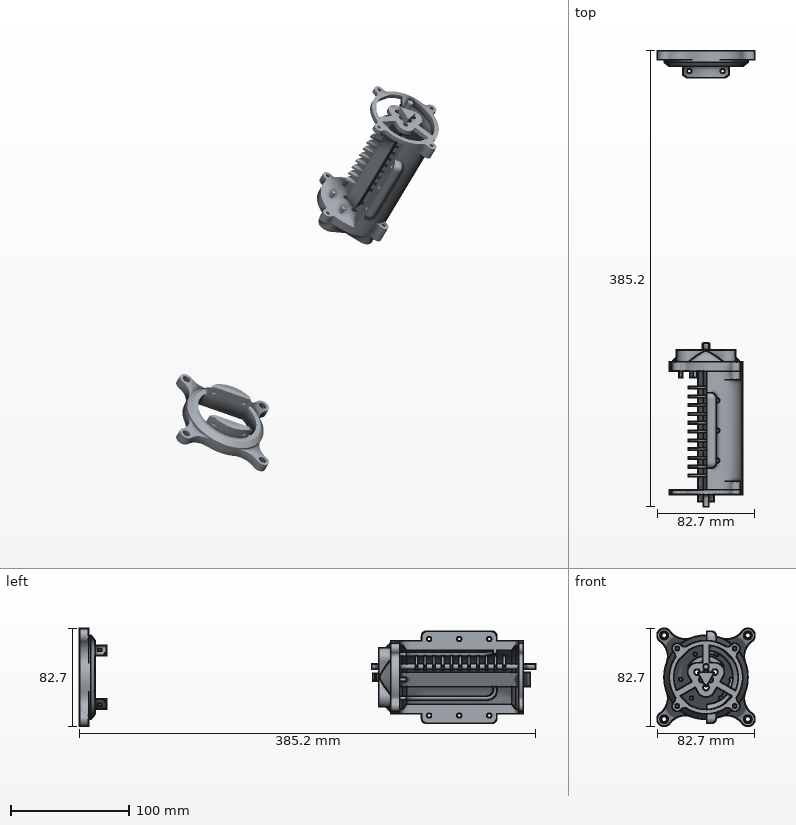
import cadquery as cq
import math


plate_thickness = 4.0
shell_length = 100.3
head_flange_thickness = 7.7
head_crown_height = 10.2
body_radius = 31.0
corner_boss_distance = 34.4
corner_boss_radius = 4.4
corner_blend_radius = 3.5
corner_screw_diameter = 3.6
shell_bore_radius = 22.7
mount_back_y = 374.8

shell_start_y = plate_thickness
shell_end_y = shell_start_y + shell_length
crown_start_y = shell_end_y + head_flange_thickness
head_end_y = crown_start_y + head_crown_height

bar_inner_radius = 4.2
bar_edge_radius = 0.6
bar_overhang = 6.0
rod_diameter = 4.7
rod_distance = 8.95
vent_distance = 8.7
vent_angles = (30, 150, 270)
spoke_angles = (90, 210, 330)

loop_half_angle = 25.0
nozzle_distance = 21.4
nozzle_diameter = 3.2
nozzle_length = 5.5


def section(y):
    """Workplane across the axis at height y; a negative extrusion runs toward +Y."""
    return cq.Workplane("XZ", origin=(0, y, 0))


def polar(radius, angle):
    return (radius * math.cos(math.radians(angle)), radius * math.sin(math.radians(angle)))


def cylinder(y, length, diameter, centre=(0, 0)):
    return section(y).center(*centre).circle(diameter / 2).extrude(-length)


def cone(y, length, start_radius, end_radius):
    """Truncated cone along +Y."""
    profile = [(0, y), (start_radius, y), (end_radius, y + length), (0, y + length)]
    return cq.Workplane("XY").polyline(profile).close().revolve(360, (0, 0), (0, 1))


def diagonal_points(distance):
    return [polar(distance, angle) for angle in (45, 135, 225, 315)]


def lobed_prism(y, length, radius, boss_distance, boss_radius, blend_radius):
    """Disc with a round boss on each diagonal, joined to the disc by concave tangent arcs."""
    reach = radius + blend_radius
    cosine = (reach**2 + boss_distance**2 - (boss_radius + blend_radius) ** 2) / (2 * reach * boss_distance)
    blend_angle = math.degrees(math.acos(cosine))

    def blend_arc(boss_angle, side):
        """Start on the disc, middle and end on the boss of one concave arc."""
        direction = boss_angle + side * blend_angle
        centre = polar(reach, direction)
        boss = polar(boss_distance, boss_angle)
        share = blend_radius / (boss_radius + blend_radius)
        on_disc = polar(radius, direction)
        on_boss = tuple(c + share * (b - c) for c, b in zip(centre, boss))
        half_way = [(p + q) / 2 - c for p, q, c in zip(on_disc, on_boss, centre)]
        stretch = blend_radius / math.hypot(*half_way)
        middle = tuple(c + stretch * h for c, h in zip(centre, half_way))
        return on_disc, middle, on_boss

    outline = section(y).moveTo(*blend_arc(45, -1)[0])
    for boss_angle in (45, 135, 225, 315):
        _, middle_in, boss_in = blend_arc(boss_angle, -1)
        disc_out, middle_out, boss_out = blend_arc(boss_angle, 1)
        outline = outline.threePointArc(middle_in, boss_in)
        outline = outline.threePointArc(polar(boss_distance + boss_radius, boss_angle), boss_out)
        outline = outline.threePointArc(middle_out, disc_out)
        next_disc = blend_arc(boss_angle + 90, -1)[0]
        outline = outline.threePointArc(polar(radius, boss_angle + 45), next_disc)
    return outline.close().extrude(-length)


def body_prism(y, length):
    return lobed_prism(
        y, length, body_radius, corner_boss_distance, corner_boss_radius, corner_blend_radius
    )


def corner_screw_holes(y, length):
    points = diagonal_points(corner_boss_distance)
    return section(y).pushPoints(points).circle(corner_screw_diameter / 2).extrude(-length)


def rounded_triangle(inner_radius, corner_radius, y, length):
    """Three-sided prism with a flat toward each spoke direction."""
    corners = [polar(2 * inner_radius, angle) for angle in vent_angles]
    return section(y).polyline(corners).close().extrude(-length).edges("|Y").fillet(corner_radius)


def vent_holes(y, length):
    points = [polar(vent_distance, angle) for angle in vent_angles]
    return section(y).pushPoints(points).circle(rod_diameter / 2).extrude(-length)


def make_core_bar():
    return rounded_triangle(bar_inner_radius, bar_edge_radius, -bar_overhang, bar_overhang + shell_end_y)


def make_end_plate():
    window_radius = 27.2
    window_flat_distance = 26.5
    spoke_width = 5.6
    spoke_overlap = 1.0
    hub_inner_radius = 12.2
    hub_corner_radius = 7.7
    key_distance = bar_inner_radius

    window = cylinder(0, plate_thickness, 2 * window_radius).intersect(
        section(0).transformed(rotate=(0, 0, 45))
        .rect(2 * window_flat_distance, 2 * window_flat_distance).extrude(-plate_thickness)
    )
    plate = body_prism(0, plate_thickness).cut(window)
    plate = plate.union(rounded_triangle(hub_inner_radius, hub_corner_radius, 0, plate_thickness))
    spoke_end = window_radius + spoke_overlap
    for angle in spoke_angles:
        spoke = (
            section(0).transformed(rotate=(0, 0, angle)).center((bar_inner_radius + spoke_end) / 2, 0)
            .rect(spoke_end - bar_inner_radius, spoke_width).extrude(-plate_thickness)
        )
        plate = plate.union(spoke)
        plate = plate.cut(cylinder(0, plate_thickness, rod_diameter, polar(key_distance, angle)))
    plate = plate.cut(rounded_triangle(bar_inner_radius, bar_edge_radius, 0, plate_thickness))
    plate = plate.cut(vent_holes(0, plate_thickness))
    plate = plate.cut(cylinder(0, plate_thickness, rod_diameter, (0, rod_distance)))
    return plate.cut(corner_screw_holes(0, plate_thickness))


split_x = 0.5
tab_outer_x = 8.7
tab_top_z = 39.0


def make_tab(middle_y):
    length = 63.6
    foot_z = 25.0
    corner_radius = 4.6
    edge_radius = 4.5
    thickness = tab_outer_x - split_x
    height = tab_top_z - foot_z
    tab = cq.Workplane("XY").box(thickness, length, height, centered=(False, True, False))
    tab = tab.edges("|X and >Z").fillet(corner_radius)
    tab = tab.faces(">X").edges().fillet(edge_radius)
    return tab.translate((split_x, middle_y, foot_z))


def make_coolant_loop(spoke_angle):
    """Two straight legs on the bore, joined at the spoke direction by a round turn."""
    tube_diameter = 3.6
    tube_distance = 21.6
    tube_start_y = shell_end_y - nozzle_length
    turn_start_y = 33.0
    turn_depth = tube_distance * math.sin(math.radians(loop_half_angle))

    def loop_point(angle, y):
        x, z = polar(tube_distance, angle)
        return cq.Vector(x, y, z)

    first_angle = spoke_angle - loop_half_angle
    last_angle = spoke_angle + loop_half_angle
    first_end = loop_point(first_angle, turn_start_y)
    last_end = loop_point(last_angle, turn_start_y)
    apex = loop_point(spoke_angle, turn_start_y - turn_depth)
    turn_path = cq.Edge.makeThreePointArc(first_end, apex, last_end)
    turn_plane = cq.Plane(origin=first_end, normal=turn_path.tangentAt(0))
    loop = cq.Workplane(turn_plane).circle(tube_diameter / 2).sweep(cq.Workplane(turn_path))
    for end, angle in ((first_end, first_angle), (last_end, last_angle)):
        leg_centre = polar(tube_distance, angle)
        leg = cylinder(turn_start_y, tube_start_y - turn_start_y, tube_diameter, leg_centre)
        joint = cq.Workplane("XY").sphere(tube_diameter / 2).translate(end)
        loop = loop.union(leg).union(joint)
    return loop


def make_half_shell():
    lug_length = 7.2
    mouth_radius = 27.2
    mouth_depth = 2.3
    mouth_cone_length = 3.5
    tab_hole_diameter = 3.6
    tab_hole_z = 32.3
    tab_hole_pitch = 25.4
    spotface_diameter = 7.0
    middle_y = shell_start_y + shell_length / 2
    bore_end_y = shell_end_y - mouth_depth

    shell = cylinder(shell_start_y, shell_length, 2 * body_radius)
    shell = shell.union(body_prism(shell_start_y, lug_length))
    shell = shell.union(body_prism(shell_end_y - lug_length, lug_length))
    tab = make_tab(middle_y)
    shell = shell.union(tab).union(tab.mirror("XY"))

    shell = shell.cut(cylinder(shell_start_y, shell_length, 2 * shell_bore_radius))
    shell = shell.cut(cylinder(shell_start_y, mouth_depth, 2 * mouth_radius))
    shell = shell.cut(cylinder(bore_end_y, mouth_depth, 2 * mouth_radius))
    shell = shell.cut(cone(shell_start_y + mouth_depth, mouth_cone_length, mouth_radius, shell_bore_radius))
    shell = shell.cut(cone(bore_end_y - mouth_cone_length, mouth_cone_length, shell_bore_radius, mouth_radius))

    for spoke_angle in (90, 330):
        shell = shell.union(make_coolant_loop(spoke_angle))

    shell = shell.cut(corner_screw_holes(shell_start_y, lug_length))
    shell = shell.cut(corner_screw_holes(shell_end_y - lug_length, lug_length))
    for z in (-tab_hole_z, tab_hole_z):
        for step in (-1, 0, 1):
            hole_line = cq.Workplane("YZ").center(middle_y + step * tab_hole_pitch, z)
            shell = shell.cut(hole_line.circle(tab_hole_diameter / 2).extrude(body_radius))
            spotface = hole_line.workplane(offset=tab_outer_x).circle(spotface_diameter / 2)
            shell = shell.cut(spotface.extrude(body_radius))

    half_space = cq.Workplane("XY").box(
        2 * body_radius, 2 * shell_length, 3 * body_radius, centered=(False, True, True)
    ).translate((split_x, middle_y, 0))
    return shell.intersect(half_space)


def make_finned_rod():
    start_y = -10.4
    end_y = 128.0
    fin_count = 11
    fin_pitch = 7.42
    fin_thickness = 2.2
    first_fin_y = 16.1
    fin_radius = 18.0
    fin_arc_end = 34.0
    fin_side_z = 9.3
    fin_foot = (3.0, 6.0)

    arc_x, arc_z = polar(fin_radius, fin_arc_end)
    rod = cylinder(start_y, end_y - start_y, rod_diameter, (0, rod_distance))
    for index in range(fin_count):
        fin = (
            section(first_fin_y + index * fin_pitch - fin_thickness / 2)
            .moveTo(arc_x, arc_z)
            .threePointArc((0, fin_radius), (-arc_x, arc_z))
            .lineTo(-arc_x, fin_side_z)
            .lineTo(-fin_foot[0], fin_foot[1])
            .lineTo(*fin_foot)
            .lineTo(arc_x, fin_side_z)
            .close()
            .extrude(-fin_thickness)
        )
        rod = rod.union(fin)
    return rod


def make_crown():
    notch_distance = 19.5
    tip = 31.0
    lobe_radius = 8.5
    outline = []
    for angle in (0, 90, 180, 270):
        outline.append(polar(notch_distance, angle))
        outline.append(polar(tip * math.sqrt(2), angle + 45))
    crown = section(crown_start_y).polyline(outline).close().extrude(-head_crown_height)

    def is_tip(edge):
        return math.hypot(edge.Center().x, edge.Center().z) > tip

    return crown.edges("|Y").filter(is_tip).fillet(lobe_radius)


def make_inlet():
    diameter = 6.5
    neck_diameter = 4.0
    length = 5.0
    groove_start = 2.0
    groove_width = 1.2
    inlet = cylinder(head_end_y, length, diameter)
    groove = cylinder(head_end_y + groove_start, groove_width, diameter)
    neck = cylinder(head_end_y + groove_start, groove_width, neck_diameter)
    return inlet.cut(groove.cut(neck))


def make_head():
    cone_start_radius = 29.0
    screw_depth = 6.0
    head = body_prism(shell_end_y, head_flange_thickness)
    head = head.union(
        cone(crown_start_y, head_crown_height, cone_start_radius, cone_start_radius - head_crown_height)
    )
    head = head.union(make_crown()).union(make_inlet())
    for spoke_angle in spoke_angles:
        for side in (-1, 1):
            centre = polar(nozzle_distance, spoke_angle + side * loop_half_angle)
            head = head.union(cylinder(shell_end_y - nozzle_length, nozzle_length, nozzle_diameter, centre))
    depth = head_flange_thickness + head_crown_height
    head = head.cut(vent_holes(shell_end_y, depth))
    head = head.cut(cylinder(shell_end_y, depth, rod_diameter, (0, rod_distance)))
    return head.cut(corner_screw_holes(shell_end_y, screw_depth))


def make_mounting_ring():
    disc_radius = 35.5
    disc_thickness = 9.7
    bevel_radius = 31.0
    bevel_height = 3.6
    arm_thickness = 7.8
    arm_distance = 50.0
    arm_end_radius = 6.0
    arm_blend_radius = 15.9
    arm_hole_diameter = 4.6
    arm_counterbore_diameter = 7.0
    arm_counterbore_depth = 3.0
    opening_radius = 27.0
    block_flat_z = 18.0
    block_depth = 22.9
    block_half_width = 19.5
    nose_half_width = 16.0
    nose_height = 2.4
    clamp_hole_x = 14.0
    clamp_hole_diameter = 3.6
    clamp_hole_depth = 17.2

    arm_front_y = mount_back_y - arm_thickness
    disc_front_y = mount_back_y - disc_thickness
    ring_front_y = disc_front_y - bevel_height
    block_front_y = mount_back_y - block_depth

    ring = lobed_prism(
        arm_front_y, arm_thickness, disc_radius, arm_distance, arm_end_radius, arm_blend_radius
    )
    ring = ring.union(cylinder(disc_front_y, disc_thickness, 2 * disc_radius))
    ring = ring.union(cone(ring_front_y, bevel_height, bevel_radius, disc_radius))
    ring = ring.cut(cylinder(ring_front_y, disc_thickness + bevel_height, 2 * opening_radius))

    blocks = cylinder(block_front_y, block_depth, 2 * opening_radius)
    blocks = blocks.cut(
        section(block_front_y).rect(2 * opening_radius, 2 * block_flat_z).extrude(-block_depth)
    )
    block_plan = [
        (-nose_half_width, block_front_y),
        (nose_half_width, block_front_y),
        (block_half_width, block_front_y + nose_height),
        (block_half_width, ring_front_y),
        (opening_radius, ring_front_y),
        (opening_radius, mount_back_y),
        (-opening_radius, mount_back_y),
        (-opening_radius, ring_front_y),
        (-block_half_width, ring_front_y),
        (-block_half_width, block_front_y + nose_height),
    ]
    plan = cq.Workplane("XY").polyline(block_plan).close().extrude(opening_radius, both=True)
    ring = ring.union(blocks.intersect(plan))

    for x in (-clamp_hole_x, clamp_hole_x):
        hole = cq.Workplane("XY").center(x, mount_back_y - clamp_hole_depth).circle(clamp_hole_diameter / 2)
        ring = ring.cut(hole.extrude(opening_radius, both=True))
    arm_holes = section(arm_front_y).pushPoints(diagonal_points(arm_distance))
    ring = ring.cut(arm_holes.circle(arm_hole_diameter / 2).extrude(-arm_thickness))
    return ring.cut(arm_holes.circle(arm_counterbore_diameter / 2).extrude(-arm_counterbore_depth))


core_bar = make_core_bar()
end_plate = make_end_plate()
half_shell = make_half_shell()
finned_rod = make_finned_rod()
head = make_head()
mounting_ring = make_mounting_ring()

result = cq.Compound.makeCompound([
    core_bar.solids().val(),
    end_plate.solids().val(),
    half_shell.solids().val(),
    finned_rod.solids().val(),
    head.solids().val(),
    mounting_ring.solids().val(),
])